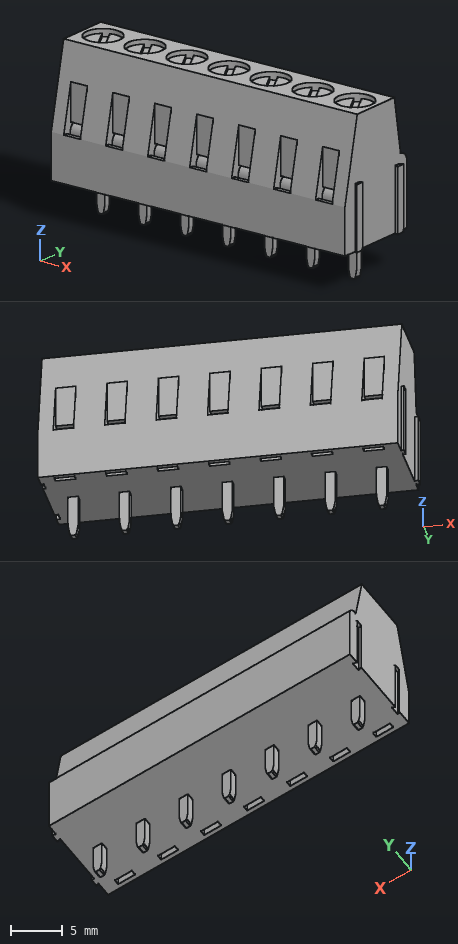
import cadquery as cq
import math


pole_count = 7
pitch = 5.08
body_length = pole_count * pitch
pole_centers = [(i + 0.5) * pitch for i in range(pole_count)]

body_depth = 10.0
body_height = 14.05
front_wall_height = 5.05
top_inset = 2.0
shoulder_radius = 1.0
shoulder_height = 8.0

window_width = 2.0
window_top = 10.2
front_wall_thickness = 0.5
window_back = 1.15
clamp_radius = 1.0
clamp_front = 1.05

screw_diameter = 4.0
screw_recess = 0.5
screw_slot_width = 0.75
screw_slot_depth = 0.35
screw_slot_angle = 119.0

pin_width = 1.0
pin_thickness = 0.8
pin_length = 4.2
pin_taper_start = 3.2
pin_shoulder_drop = 4.0
pin_shoulder_width = 0.7
pin_tip_width = 0.45

dovetail_height = 7.0
dovetail_root_width = 0.7
dovetail_tip_width = 0.95
front_dovetail_y = 2.0
front_dovetail_depth = 0.3
back_dovetail_y = 8.45
back_dovetail_depth = 0.4
dovetails = [
    (front_dovetail_y, front_dovetail_depth),
    (back_dovetail_y, back_dovetail_depth),
]

mid_depth = body_depth / 2


def make_housing():
    """Tapered housing section with a rounded shoulder along the back."""
    shoulder_y = body_depth - shoulder_radius
    shoulder_base = shoulder_height - shoulder_radius
    arc_offset = shoulder_radius * math.sqrt(0.5)
    return (
        cq.Workplane("YZ")
        .moveTo(0, 0)
        .lineTo(body_depth, 0)
        .lineTo(body_depth, shoulder_base)
        .threePointArc(
            (shoulder_y + arc_offset, shoulder_base + arc_offset),
            (shoulder_y, shoulder_height),
        )
        .lineTo(body_depth - top_inset, body_height)
        .lineTo(top_inset, body_height)
        .lineTo(0, front_wall_height)
        .close()
        .extrude(body_length)
    )


def make_window(x):
    """Wire-entry void: window above the front wall, open to the bottom, with a rounded clamp behind."""
    clamp_center_y = clamp_front + clamp_radius
    clamp_top = front_wall_height + clamp_radius
    arc_offset = clamp_radius * math.sqrt(0.5)
    return (
        cq.Workplane("YZ", origin=(x - window_width / 2, 0, 0))
        .moveTo(0, front_wall_height)
        .lineTo(front_wall_thickness, front_wall_height)
        .lineTo(front_wall_thickness, 0)
        .lineTo(clamp_front, 0)
        .lineTo(clamp_front, front_wall_height)
        .threePointArc(
            (clamp_center_y - arc_offset, front_wall_height + arc_offset),
            (clamp_center_y, clamp_top),
        )
        .lineTo(window_back, clamp_top)
        .lineTo(window_back, window_top)
        .lineTo(0, window_top)
        .close()
        .extrude(window_width)
    )


def make_screw_void(x):
    """Round recess above the screw head, with the driver slot cut across the head."""
    head_z = body_height - screw_recess
    recess = (
        cq.Workplane("XY", origin=(x, mid_depth, head_z))
        .circle(screw_diameter / 2)
        .extrude(screw_recess)
    )
    slot_disc = (
        cq.Workplane("XY", origin=(x, mid_depth, head_z))
        .circle(screw_diameter / 2)
        .extrude(-screw_slot_depth)
    )
    slot_bar = (
        cq.Workplane("XY", origin=(x, mid_depth, head_z))
        .transformed(rotate=(0, 0, screw_slot_angle))
        .rect(screw_diameter, screw_slot_width)
        .extrude(-screw_slot_depth)
    )
    return recess.union(slot_disc.intersect(slot_bar))


def make_pin(x):
    """Flat solder pin with a two-step tapered tip."""
    right_side = [
        (pin_width / 2, 0),
        (pin_width / 2, -pin_taper_start),
        (pin_shoulder_width / 2, -pin_shoulder_drop),
        (pin_tip_width / 2, -pin_length),
    ]
    left_side = [(-px, pz) for px, pz in reversed(right_side)]
    return (
        cq.Workplane("XZ", origin=(x, mid_depth + pin_thickness / 2, 0))
        .polyline(right_side + left_side)
        .close()
        .extrude(pin_thickness)
    )


def make_dovetail(x, y, depth):
    """Upright dovetail bar that widens from its root at x toward +X."""
    return (
        cq.Workplane("XY", origin=(x, y, 0))
        .moveTo(0, -dovetail_root_width / 2)
        .lineTo(depth, -dovetail_tip_width / 2)
        .lineTo(depth, dovetail_tip_width / 2)
        .lineTo(0, dovetail_root_width / 2)
        .close()
        .extrude(dovetail_height)
    )


block = make_housing()

for center in pole_centers:
    block = block.cut(make_window(center))
    block = block.cut(make_screw_void(center))
    block = block.union(make_pin(center))

for dovetail_y, dovetail_depth in dovetails:
    block = block.cut(make_dovetail(0, dovetail_y, dovetail_depth))
    block = block.union(make_dovetail(body_length, dovetail_y, dovetail_depth))

result = block